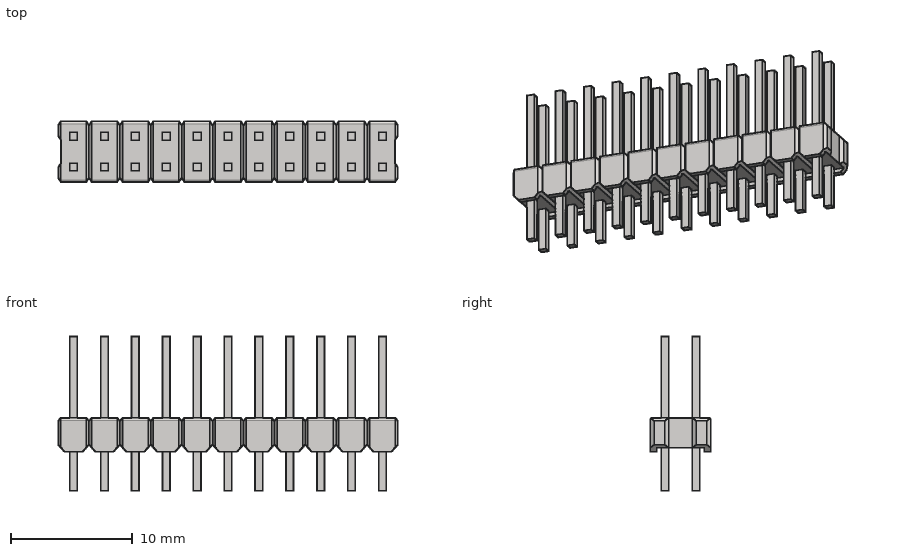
import cadquery as cq

length = 27.95
depth = 5.0
height = 12.7
positions = 11
rows = 2
pitch = length / positions

body_bottom = 3.2
body_top = 6.0
top_fillet = 0.2

bevel_x = 0.22
bevel_y = 0.34
bevel_z = 0.25

foot_bevel_x = 0.53
foot_bevel_z = 0.6
foot_width = 0.55
foot_height = 0.34

end_pad_width = 1.55

pin_side = 0.65

half_pitch = pitch / 2
half_depth = depth / 2
body_height = body_top - body_bottom


def make_plan():
    """Rectangle with bevelled corners, seen along Z."""
    flat_x = half_pitch - bevel_x
    flat_y = half_depth - bevel_y
    return (
        cq.Workplane("XY", origin=(0, 0, body_bottom))
        .moveTo(-flat_x, -half_depth)
        .lineTo(flat_x, -half_depth)
        .lineTo(half_pitch, -flat_y)
        .lineTo(half_pitch, flat_y)
        .lineTo(flat_x, half_depth)
        .lineTo(-flat_x, half_depth)
        .lineTo(-half_pitch, flat_y)
        .lineTo(-half_pitch, -flat_y)
        .close()
        .extrude(body_height)
    )


def make_row_profile():
    """Outline seen along Y: small bevels at the top, large ones at the feet."""
    top_x = half_pitch - bevel_x
    foot_x = half_pitch - foot_bevel_x
    return (
        cq.Workplane("XZ")
        .moveTo(-foot_x, body_bottom)
        .lineTo(foot_x, body_bottom)
        .lineTo(half_pitch, body_bottom + foot_bevel_z)
        .lineTo(half_pitch, body_top - bevel_z)
        .lineTo(top_x, body_top)
        .lineTo(-top_x, body_top)
        .lineTo(-half_pitch, body_top - bevel_z)
        .lineTo(-half_pitch, body_bottom + foot_bevel_z)
        .close()
        .extrude(half_depth, both=True)
    )


def make_cross_section():
    """Section seen along X: rounded top edges and a recess between the feet."""
    section = (
        cq.Workplane("XY", origin=(0, 0, body_bottom))
        .box(pitch, depth, body_height, centered=(True, True, False))
        .faces(">Z")
        .edges("|X")
        .fillet(top_fillet)
    )
    recess = (
        cq.Workplane("XY", origin=(0, 0, body_bottom))
        .box(pitch, depth - 2 * foot_width, foot_height, centered=(True, True, False))
    )
    return section.cut(recess)


def make_body():
    """Segments joined end to end along X."""
    segment = make_plan().intersect(make_row_profile()).intersect(make_cross_section())
    body = cq.Workplane("XY")
    for index in range(positions):
        x = (index - (positions - 1) / 2) * pitch
        body = body.union(segment.translate((x, 0, 0)))
    return body


def make_end_notch(side):
    """Tapered notch that leaves two pads on the end face at side = -1 or 1."""
    floor_y = half_depth - end_pad_width
    mouth_y = floor_y + bevel_y
    mouth_x = side * length / 2
    floor_x = side * (length / 2 - bevel_x)
    return (
        cq.Workplane("XY", origin=(0, 0, body_bottom))
        .moveTo(floor_x, -floor_y)
        .lineTo(mouth_x, -mouth_y)
        .lineTo(mouth_x, mouth_y)
        .lineTo(floor_x, floor_y)
        .close()
        .extrude(body_height)
    )


def make_pins():
    """Full-height pins, one per segment in each row."""
    return (
        cq.Workplane("XY")
        .rarray(pitch, pitch, positions, rows)
        .rect(pin_side, pin_side)
        .extrude(height)
    )


body = make_body()
for side in (-1, 1):
    body = body.cut(make_end_notch(side))

result = body.union(make_pins())